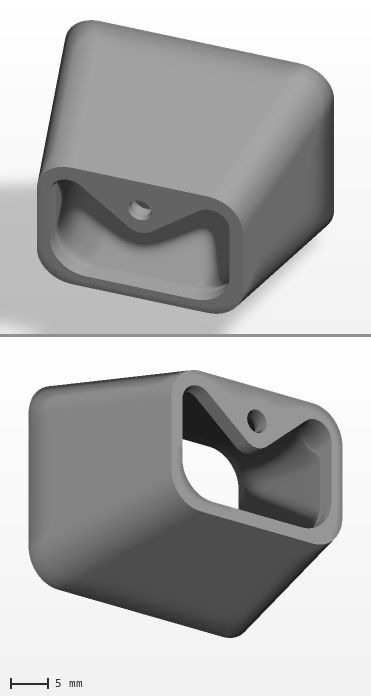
import cadquery as cq
import math

BACK_WIDTH = 38.1
BACK_HEIGHT = 29.21
DEPTH = 25.4
DRAFT_ANGLE = 10.0
CORNER_RADIUS = 5.08
TAPER_PER_MM = math.tan(math.radians(DRAFT_ANGLE))
FRONT_WIDTH = BACK_WIDTH - 2 * DEPTH * TAPER_PER_MM
FRONT_HEIGHT = BACK_HEIGHT - 2 * DEPTH * TAPER_PER_MM

WALL = 1.875
PLATE_THICKNESS = 2.54
CAVITY_INSET = WALL + PLATE_THICKNESS * TAPER_PER_MM

OPENING_HALF_WIDTH = FRONT_WIDTH / 2 - WALL
OPENING_BOTTOM = -(FRONT_HEIGHT / 2 - WALL)
TAB_TIP_Z = 0.62
TAB_EDGE_ANGLE = 38.66
TAB_FILLET = 2.67
TAB_SIDE_Z = TAB_TIP_Z + OPENING_HALF_WIDTH * math.tan(math.radians(TAB_EDGE_ANGLE))

HOLE_DIAMETER = 3.302
HOLE_Z = 5.2

EDGE_TOLERANCE = 0.01


def cross_plane(y):
    """Sketch plane facing the back (+Y), with local x along -X and local y along Z."""
    return cq.Plane(origin=(0, y, 0), xDir=(-1, 0, 0), normal=(0, 1, 0))


def tapered_block(front_y, inset):
    """Rounded block narrowing from the back to front_y, inset from the outer drafted sides."""
    back = cq.Workplane(cross_plane(DEPTH)).rect(BACK_WIDTH - 2 * inset, BACK_HEIGHT - 2 * inset)
    block = back.extrude(front_y - DEPTH, taper=DRAFT_ANGLE)
    return block.edges("not(#Y)").fillet(CORNER_RADIUS)


def front_opening():
    """Prism of the opening, run to the back so its upper corners also clear the cavity corners."""
    outline = [
        (-OPENING_HALF_WIDTH, OPENING_BOTTOM),
        (OPENING_HALF_WIDTH, OPENING_BOTTOM),
        (OPENING_HALF_WIDTH, TAB_SIDE_Z),
        (0, TAB_TIP_Z),
        (-OPENING_HALF_WIDTH, TAB_SIDE_Z),
    ]
    opening = cq.Workplane(cross_plane(0)).polyline(outline).close().extrude(DEPTH)
    opening = opening.edges("|Y").edges("<Z").fillet(CORNER_RADIUS)
    tab_edges = cq.selectors.BoxSelector(
        (-BACK_WIDTH, -DEPTH, TAB_TIP_Z - EDGE_TOLERANCE),
        (BACK_WIDTH, DEPTH, BACK_HEIGHT),
    )
    return opening.edges("|Y").edges(tab_edges).fillet(TAB_FILLET)


def tab_hole():
    """Cylinder through the plate on the tab's centre line."""
    return cq.Workplane(cross_plane(0)).center(0, HOLE_Z).circle(HOLE_DIAMETER / 2).extrude(PLATE_THICKNESS)


body = tapered_block(0, 0)
cavity = tapered_block(PLATE_THICKNESS, CAVITY_INSET)
result = body.cut(cavity).cut(front_opening()).cut(tab_hole())